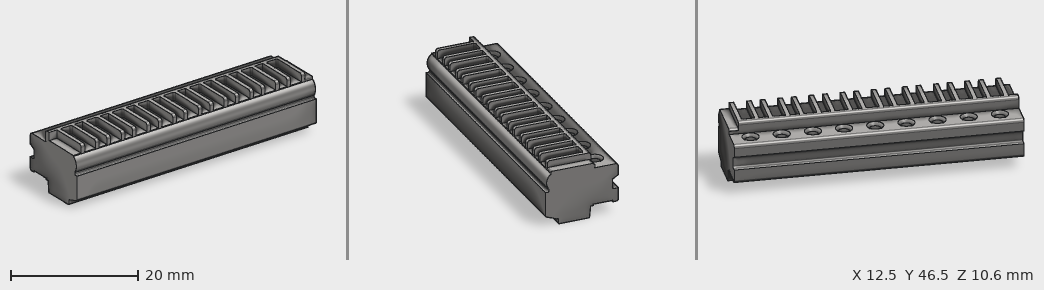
import cadquery as cq

LENGTH = 46.5
WIDTH = 12.5
HEIGHT = 10.6

SHELF_Z = 8.6
POCKET_FLOOR_Z = 9.15
END_STEP_Z = 9.45
SLOT_TOP_OUTER_Z = 6.58
SLOT_TOP_INNER_Z = 6.0
SLOT_FLOOR_OUTER_Z = 4.34
SLOT_FLOOR_INNER_Z = 4.26
NOTCH_FLOOR_Z = 5.9
NOTCH_TOP_Z = 6.35
BULGE_TOP_Z = 9.0
BULGE_CENTER_Z = 7.5
BULGE_END_Z = 6.65
RELIEF_Z = 2.25
LIP_Z = 2.0
RAMP_TOP_Z = 1.65
RAMP_BOTTOM_Z = 0.85

LIP_X = 0.95
SLOT_DEPTH = 1.0
CREST_LEFT_X = 4.05
RELIEF_END_X = 4.28
FOOT_TOP_LEFT_X = 4.75
FOOT_LEFT_X = 4.95
FOOT_RIGHT_X = 10.3
POCKET_LEFT_X = 5.05
RIB_END_X = 11.55
NOTCH_BOTTOM_X = 11.95
BULGE_END_X = 12.1
BULGE_X = 12.33

SHELF_RADIUS = 0.5
LIP_RADIUS = 0.4
CREST_RADIUS = 0.48
SLOT_FLOOR_RADIUS = 0.3
SLOT_TOP_RADIUS = 0.15
NOTCH_RADIUS = 0.15
FOOT_RADIUS = 0.15
RAMP_RADIUS = 0.2
END_STEP_OUTER_RADIUS = 0.15
POCKET_RADIUS = 0.3

PITCH = 5.0
POLES = 9
FIRST_SCREW_Y = 3.35
FIRST_POCKET_Y = 3.25
WIDE_POCKET = 2.1
RIB = 0.7
NARROW_POCKET = PITCH - WIDE_POCKET - 2 * RIB
END_POCKET = FIRST_POCKET_Y - WIDE_POCKET / 2 - RIB
END_STEP = LENGTH - END_POCKET - POLES * PITCH + NARROW_POCKET

SCREW_X = 2.65
SCREW_TOP_DIAMETER = 2.7
SCREW_FLOOR_DIAMETER = 1.75
SCREW_DEPTH = 0.5


def block(x_min, x_max, y_min, y_max, z_min, z_max):
    """Axis-aligned box given by its limits."""
    size = (x_max - x_min, y_max - y_min, z_max - z_min)
    return cq.Workplane("XY").box(*size, centered=False).translate((x_min, y_min, z_min))


def round_edge_at(body, x, z, radius):
    """Round the lengthwise edge that passes through (x, z)."""
    reach = 0.01
    low = (x - reach, -reach, z - reach)
    high = (x + reach, LENGTH + reach, z + reach)
    return body.edges(cq.selectors.BoxSelector(low, high, boundingbox=True)).fillet(radius)


def make_body():
    """Housing section with a square crest, extruded over the full length."""
    section = (
        cq.Workplane("XZ")
        .moveTo(FOOT_LEFT_X, 0)
        .lineTo(FOOT_RIGHT_X, 0)
        .lineTo(FOOT_RIGHT_X, RAMP_BOTTOM_Z)
        .lineTo(WIDTH, RAMP_TOP_Z)
        .lineTo(WIDTH, NOTCH_FLOOR_Z)
        .lineTo(NOTCH_BOTTOM_X, NOTCH_FLOOR_Z)
        .lineTo(NOTCH_BOTTOM_X, NOTCH_TOP_Z)
        .lineTo(BULGE_END_X, BULGE_END_Z)
        .threePointArc((BULGE_X, BULGE_CENTER_Z), (RIB_END_X, BULGE_TOP_Z))
        .lineTo(RIB_END_X, HEIGHT)
        .lineTo(CREST_LEFT_X, HEIGHT)
        .lineTo(CREST_LEFT_X, SHELF_Z)
        .lineTo(0, SHELF_Z)
        .lineTo(0, SLOT_TOP_OUTER_Z)
        .lineTo(SLOT_DEPTH, SLOT_TOP_INNER_Z)
        .lineTo(SLOT_DEPTH, SLOT_FLOOR_INNER_Z)
        .lineTo(0, SLOT_FLOOR_OUTER_Z)
        .lineTo(0, LIP_Z)
        .lineTo(LIP_X, LIP_Z)
        .lineTo(LIP_X, RELIEF_Z)
        .lineTo(RELIEF_END_X, RELIEF_Z)
        .lineTo(RELIEF_END_X, LIP_Z)
        .lineTo(FOOT_TOP_LEFT_X, LIP_Z)
        .close()
    )
    body = section.extrude(-LENGTH)
    body = round_edge_at(body, 0, SHELF_Z, SHELF_RADIUS)
    body = round_edge_at(body, 0, LIP_Z, LIP_RADIUS)
    body = round_edge_at(body, SLOT_DEPTH, SLOT_FLOOR_INNER_Z, SLOT_FLOOR_RADIUS)
    body = round_edge_at(body, SLOT_DEPTH, SLOT_TOP_INNER_Z, SLOT_TOP_RADIUS)
    body = round_edge_at(body, NOTCH_BOTTOM_X, NOTCH_FLOOR_Z, NOTCH_RADIUS)
    body = round_edge_at(body, FOOT_LEFT_X, 0, FOOT_RADIUS)
    body = round_edge_at(body, FOOT_RIGHT_X, 0, FOOT_RADIUS)
    body = round_edge_at(body, WIDTH, RAMP_TOP_Z, RAMP_RADIUS)
    return body


def crest_blank(y_min, y_max, top_z, outer_radius):
    """Length of the crest with its two upper edges rounded."""
    crest = block(CREST_LEFT_X, RIB_END_X, y_min, y_max, SHELF_Z, top_z)
    crest = round_edge_at(crest, CREST_LEFT_X, top_z, CREST_RADIUS)
    return round_edge_at(crest, RIB_END_X, top_z, outer_radius)


def shape_crest(body):
    """Round the crest and lower it over the +Y end."""
    step_y = LENGTH - END_STEP
    body = body.cut(block(CREST_LEFT_X, WIDTH, 0, LENGTH, POCKET_FLOOR_Z, HEIGHT))
    full_crest = crest_blank(0, step_y, HEIGHT, CREST_RADIUS)
    low_crest = crest_blank(step_y, LENGTH, END_STEP_Z, END_STEP_OUTER_RADIUS)
    return body.union(full_crest).union(low_crest)


def pocket(y_min, y_max):
    """Pocket that is open towards +X."""
    return block(POCKET_LEFT_X, WIDTH, y_min, y_max, POCKET_FLOOR_Z, HEIGHT)


def cut_pockets(body):
    """Alternate wide, round-cornered pockets with narrow, square ones."""
    body = body.cut(pocket(0, END_POCKET))
    for pole in range(POLES):
        wide_start = END_POCKET + RIB + pole * PITCH
        wide_end = wide_start + WIDE_POCKET
        wide = pocket(wide_start, wide_end).edges("|Z and <X").fillet(POCKET_RADIUS)
        body = body.cut(wide)
        if pole < POLES - 1:
            narrow_start = wide_end + RIB
            body = body.cut(pocket(narrow_start, narrow_start + NARROW_POCKET))
    return body


def cut_screw_recesses(body):
    """One flat-bottomed conical recess per pole in the shelf."""
    recess = cq.Solid.makeCone(
        SCREW_FLOOR_DIAMETER / 2,
        SCREW_TOP_DIAMETER / 2,
        SCREW_DEPTH,
        pnt=cq.Vector(SCREW_X, FIRST_SCREW_Y, SHELF_Z - SCREW_DEPTH),
    )
    for pole in range(POLES):
        body = body.cut(cq.Workplane(recess.translate(cq.Vector(0, pole * PITCH, 0))))
    return body


result = make_body()
result = shape_crest(result)
result = cut_pockets(result)
result = cut_screw_recesses(result)